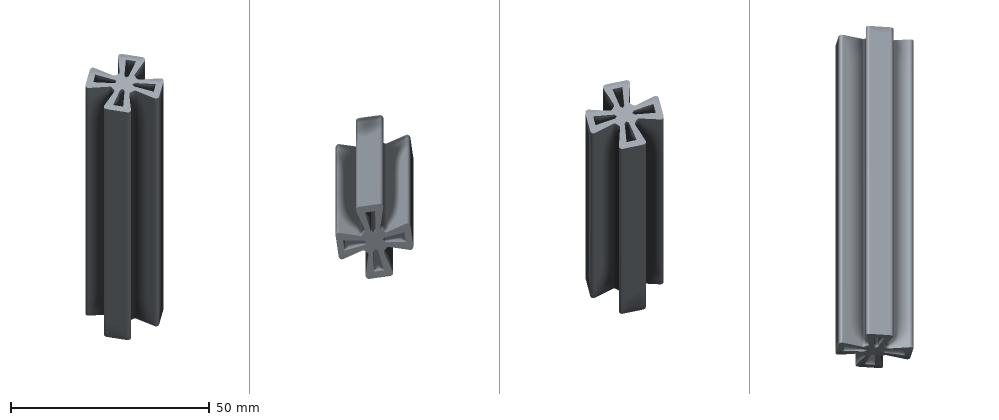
import cadquery as cq
import math

length = 86.5
width = 17.7

floor_distance = 3.45
floor_half_width = 0.85
flank_angle = math.radians(28.5)
floor_radius = 0.7
tip_radius = 0.8

chamber_corner = 1.4
chamber_inner_side = 0.8
end_wall = 1.7
chamber_end_width = 2.6

arm_angles = (0, 90, 180, 270)

tip_center_y = width / 2 - tip_radius
tip_center_x = (
    floor_half_width
    + (tip_center_y - floor_distance) * math.tan(flank_angle)
    + tip_radius / math.cos(flank_angle)
)
end_distance = (tip_center_x + tip_center_y) / math.sqrt(2) + tip_radius


def rotate_point(point, degrees):
    """Turn a point about the profile centre."""
    angle = math.radians(degrees)
    x, y = point
    return (
        x * math.cos(angle) - y * math.sin(angle),
        x * math.sin(angle) + y * math.cos(angle),
    )


def sharp_tip():
    """Point where a groove flank meets the arm end face, before rounding."""
    slope = math.tan(flank_angle)
    rise = (end_distance * math.sqrt(2) - floor_distance - floor_half_width) / (1 + slope)
    return (floor_half_width + rise * slope, floor_distance + rise)


def prism(points):
    return cq.Workplane("XY").polyline(points).close().extrude(length)


def round_edges(body, corner, radius):
    """Round the lengthwise edges at a corner and at its mirrored and turned copies."""
    corner_distance = math.hypot(*corner)
    tolerance = 0.01
    edges = [
        edge
        for edge in body.edges("|Z").vals()
        if abs(math.hypot(edge.Center().x, edge.Center().y) - corner_distance) < tolerance
    ]
    return body.newObject(edges).fillet(radius)


def make_body():
    tip = sharp_tip()
    floor_corner = (floor_half_width, floor_distance)
    groove = [
        tip,
        floor_corner,
        (-floor_corner[0], floor_corner[1]),
        (-tip[0], tip[1]),
    ]
    outline = [rotate_point(point, angle) for angle in arm_angles for point in groove]
    body = prism(outline)
    body = round_edges(body, floor_corner, floor_radius)
    return round_edges(body, tip, tip_radius)


def make_chamber(angle):
    """Chamber of one arm, symmetric about the arm's 45 degree centreline."""
    side_end = chamber_corner + chamber_inner_side
    end_middle = (end_distance - end_wall) / math.sqrt(2)
    end_offset = chamber_end_width / 2 / math.sqrt(2)
    points = [
        (chamber_corner, chamber_corner),
        (side_end, chamber_corner),
        (end_middle + end_offset, end_middle - end_offset),
        (end_middle - end_offset, end_middle + end_offset),
        (chamber_corner, side_end),
    ]
    return prism([rotate_point(point, angle) for point in points])


result = make_body()
for arm_angle in arm_angles:
    result = result.cut(make_chamber(arm_angle))